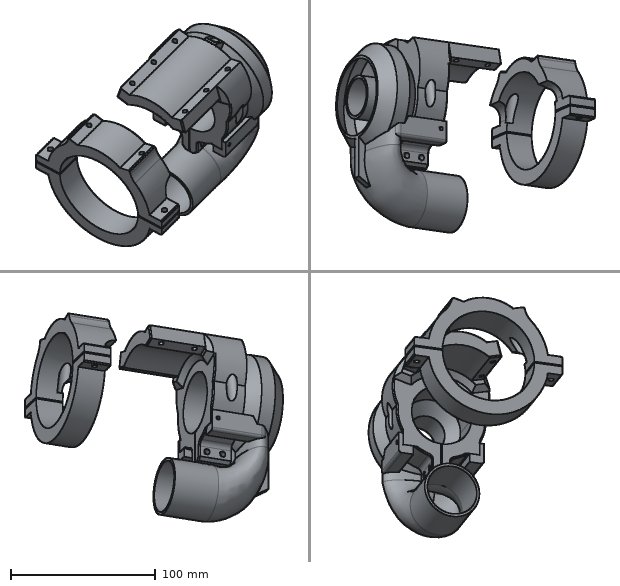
import cadquery as cq
import math


PIPE_OUTER_D = 40.0
PIPE_INNER_D = 36.0
WALL = (PIPE_OUTER_D - PIPE_INNER_D) / 2
EDGE_CHAMFER = 1.0
SLIT = 1.0
TILT = 15.0
TILT_SIN = math.sin(math.radians(TILT))
TILT_COS = math.cos(math.radians(TILT))
TILT_TAN = math.tan(math.radians(TILT))
CUT = 158.8
TOUCH = 0.2

CROWN_Z = 44.0
PAD_INNER_X = 18.1
PAD_OUTER_X = 26.2
PAD_OUTER_Z = 40.8
PAD_INNER_Z = PAD_OUTER_Z - (PAD_OUTER_X - PAD_INNER_X) * TILT_TAN
PAD_THICKNESS = 11.6
PAD_EDGE_X = PAD_OUTER_X + PAD_THICKNESS * TILT_SIN
PAD_EDGE_Z = PAD_OUTER_Z - PAD_THICKNESS * TILT_COS
PAD_HOLE_X = 22.5
PAD_HOLE_Z = PAD_OUTER_Z - (PAD_OUTER_X - PAD_HOLE_X) * TILT_TAN
PAD_HOLE_D = 3.5
PAD_HOLE_PITCH = 25.0
FIRST_PAD_HOLE_Y = -10.0

MOUNT_DEPTH = 24.0
MOUNT_R = 32.7
BORE_R = 21.8
CHEEK_X = 35.5
CHEEK_Z = 18.5
CHEEK_BOTTOM_Z = 3.5
CORNER_X = 28.0
CORNER_TOP_Z = -math.sqrt(MOUNT_R**2 - CORNER_X**2)
CORNER_Z = -26.2
LUG_X = 6.8
LUG_TOP_Z = -math.sqrt(MOUNT_R**2 - LUG_X**2)
LUG_BOTTOM_Z = -45.3
LUG_CHAMFER = 2.4
LUG_FILLET_R = 4.0
LUG_HOLE_D = 4.0
LUG_HOLE_Z = -38.6
LUG_HOLE_YS = (-6.2, -18.0)
SCREW_HEAD_D = 8.0
MOUNT_HOLE_PAIRS = 3
RAIL_DEPTH = 69.2
RAIL_INNER_R = 34.0
GUSSET_DEPTH = 4.3
GUSSET_DROP = 8.0
GUSSET_TAPER = 45.0

HOOD_DEPTH = 29.9
HOOD_R = 38.7
HOOD_END_R = 29.0
HOOD_RIM_FRONT = 9.8
HOOD_RIM_BACK = 20.0
NOZZLE_R = 13.2
FUNNEL_DEPTH = 8.5
LATCH_WIDTH = 9.8
LATCH_FLAT = 2.0
LATCH_HOLE_D = 5.5
LATCH_HOLE_Z = 41.1
BRACKET_OUTER_X = 31.1
BRACKET_INNER_X = 20.5
BRACKET_TOP_Z = -17.3
BRACKET_BOTTOM_Z = -32.5
BRACKET_BACK_Y = 17.8
BRACKET_BACK_R = 5.0
BRACKET_BOTTOM_R = 2.0
BRACKET_HOLE_D = 2.5
BRACKET_HOLE_Y = -19.5
BRACKET_HOLE_Z = -23.0

DUCT_Y = 15.0
DUCT_HALF_WIDTH = 30.0
DUCT_HALF_DEPTH = 10.0
DUCT_BOTTOM_Z = -38.5
PIPE_R = PIPE_OUTER_D / 2
PIPE_Z = -66.7
PIPE_START_Y = -14.8
PIPE_END_Y = -47.2
ELBOW_STEPS = 4
VANE_THICKNESS = 5.5
VANE_BOTTOM_Z = -57.2
VANE_NOSE_R = 10.3
VANE_WALL_Y = 21.5
VANE_TOE_Y = 19.8
VANE_TOE_Z = -63.5

RING_X = -0.6
RING_R = 44.0
RING_BORE_R = 33.5
RING_FRONT_Y = -129.0
RING_UPPER_DEPTH = 30.0
RING_LOWER_DEPTH = 20.0
EAR_SPAN = 108.1
EAR_Z = 7.0
EAR_HOLE_X = 48.9
EAR_HOLE_D = 4.0
RING_HOLE_STEPS = 4
PAD_FILLET_R = 15.0
RELIEF_R = 10.0
RELIEF_TOP_Z = 19.2


def profile(y):
    """Drawing plane across the tool axis; extrusions run toward -Y."""
    return cq.Workplane("XZ", origin=(0, y, 0))


def lengthwise_edges(x, z, reach):
    """Selector of the edges along Y that lie within `reach` of (+x, z) or (-x, z)."""
    right = cq.selectors.BoxSelector((x - reach, -CUT, z - reach), (x + reach, CUT, z + reach))
    left = cq.selectors.BoxSelector((-x - reach, -CUT, z - reach), (-x + reach, CUT, z + reach))
    return cq.selectors.ParallelDirSelector(cq.Vector(0, 1, 0)) & (right + left)


def edges_at(y, low, high):
    """Selector of the edges in the plane at `y` whose middles lie between two (x, z) corners."""
    return cq.selectors.BoxSelector(
        (low[0], y - TOUCH, low[1]), (high[0], y + TOUCH, high[1]), boundingbox=False
    )


def both_sides(shape):
    """The shape together with its mirror image across X = 0."""
    return shape.union(shape.mirror("YZ"))


def pad_axis_cylinder(y, diameter, start, length):
    """Cylinder square to the +X pad, from `start` below the pad face and `length` long."""
    down = cq.Vector(TILT_SIN, 0, -TILT_COS)
    base = cq.Vector(PAD_HOLE_X, y, PAD_HOLE_Z) + down * start
    return cq.Workplane(cq.Solid.makeCylinder(diameter / 2, length, base, down))


def pad_holes(ys):
    """Cutters for a screw hole through both pads at each Y."""
    holes = cq.Workplane()
    for y in ys:
        holes = holes.add(pad_axis_cylinder(y, PAD_HOLE_D, -PAD_THICKNESS, 2 * PAD_THICKNESS))
    return both_sides(holes.combine())


def crown_prism(y, depth):
    """Solid under the crown and the two pads, down to the lower edges of the pads."""
    return (
        profile(y)
        .moveTo(-PAD_INNER_X, PAD_INNER_Z)
        .threePointArc((0, CROWN_Z), (PAD_INNER_X, PAD_INNER_Z))
        .lineTo(PAD_OUTER_X, PAD_OUTER_Z)
        .lineTo(PAD_EDGE_X, PAD_EDGE_Z)
        .lineTo(0, PAD_EDGE_Z - PAD_EDGE_X * TILT_TAN)
        .lineTo(-PAD_EDGE_X, PAD_EDGE_Z)
        .lineTo(-PAD_OUTER_X, PAD_OUTER_Z)
        .close()
        .extrude(depth)
    )


def circle_x(z):
    """X of the round side of the mount at height z."""
    return math.sqrt(MOUNT_R**2 - z**2)


def half_crown():
    """Middle and end point of the +X half of the crown arc."""
    sag = CROWN_Z - PAD_INNER_Z
    radius = (PAD_INNER_X**2 + sag**2) / (2 * sag)
    half_angle = math.asin(PAD_INNER_X / radius) / 2
    middle = (radius * math.sin(half_angle), CROWN_Z - radius * (1 - math.cos(half_angle)))
    return middle, (PAD_INNER_X, PAD_INNER_Z)


def half_mount(depth):
    """The +X half of the mount without its bore, `depth` long from Y = 0."""
    waist_x = circle_x(CHEEK_BOTTOM_Z)
    side_mid_z = (CHEEK_BOTTOM_Z + CORNER_TOP_Z) / 2
    corner_end_x = circle_x(CORNER_Z)
    under_mid_z = (CORNER_Z + LUG_TOP_Z) / 2
    return (
        profile(0)
        .moveTo(0, CROWN_Z)
        .threePointArc(*half_crown())
        .lineTo(PAD_OUTER_X, PAD_OUTER_Z)
        .threePointArc((CHEEK_X, CHEEK_Z), (waist_x, CHEEK_BOTTOM_Z))
        .threePointArc((circle_x(side_mid_z), side_mid_z), (CORNER_X, CORNER_TOP_Z))
        .lineTo(CORNER_X, CORNER_Z)
        .lineTo(corner_end_x, CORNER_Z)
        .threePointArc((circle_x(under_mid_z), under_mid_z), (LUG_X, LUG_TOP_Z))
        .lineTo(LUG_X, LUG_BOTTOM_Z + LUG_CHAMFER)
        .lineTo(LUG_X - LUG_CHAMFER, LUG_BOTTOM_Z)
        .lineTo(0, LUG_BOTTOM_Z)
        .close()
        .extrude(depth)
    )


def mount_body():
    """Clamp part of the mount with its lugs, chamfered round the front face."""
    half = half_mount(MOUNT_DEPTH)
    half = half.edges(lengthwise_edges(LUG_X, LUG_TOP_Z, TOUCH)).fillet(LUG_FILLET_R)
    side_edges = edges_at(-MOUNT_DEPTH, (CORNER_X, CORNER_TOP_Z), (CUT, CUT))
    lower_edges = edges_at(-MOUNT_DEPTH, (LUG_X / 2, -CUT), (CORNER_X, CORNER_Z - TOUCH))
    half = half.edges(side_edges).chamfer(EDGE_CHAMFER)
    half = half.edges(lower_edges).chamfer(EDGE_CHAMFER)
    return both_sides(half)


def gusset():
    """Sloped transition from the front face of the mount to the rail."""
    side_x = PAD_EDGE_X + GUSSET_DEPTH / TILT_COS
    low_x = side_x + GUSSET_DROP * TILT_TAN
    low_z = PAD_EDGE_Z - GUSSET_DROP + (low_x - PAD_EDGE_X) * TILT_TAN
    top_z = CROWN_Z + 2 * GUSSET_DEPTH
    top_x = side_x - (top_z - PAD_EDGE_Z) * TILT_TAN
    block = (
        profile(-MOUNT_DEPTH)
        .polyline([
            (-top_x, top_z), (top_x, top_z), (low_x, low_z),
            (0, low_z - low_x * TILT_TAN), (-low_x, low_z),
        ])
        .close()
        .extrude(GUSSET_DEPTH, taper=GUSSET_TAPER)
    )
    cone = cq.Workplane(cq.Solid.makeCone(
        RAIL_INNER_R - GUSSET_DEPTH, RAIL_INNER_R, GUSSET_DEPTH,
        cq.Vector(0, -MOUNT_DEPTH, 0), cq.Vector(0, -1, 0),
    ))
    outline = both_sides(half_mount(MOUNT_DEPTH + GUSSET_DEPTH))
    root = block.faces(">Y").wires().toPending().extrude(-EDGE_CHAMFER, combine=False)
    root = root.cut(profile(0).circle(RAIL_INNER_R - GUSSET_DEPTH).extrude(MOUNT_DEPTH))
    return block.cut(cone).union(root).intersect(outline)


def rail():
    """Long arched top of the mount with a screw pad along each side."""
    lower_edges = edges_at(-RAIL_DEPTH, (-CUT, -CUT), (CUT, PAD_INNER_Z - TOUCH))
    prism = crown_prism(0, RAIL_DEPTH).edges(lower_edges).chamfer(EDGE_CHAMFER)
    return prism.cut(profile(0).circle(RAIL_INNER_R).extrude(RAIL_DEPTH))


def make_mount():
    body = mount_body().union(gusset()).union(rail())
    body = body.cut(profile(0).circle(BORE_R).extrude(MOUNT_DEPTH))
    body = body.cut(cq.Workplane().box(SLIT, CUT, CUT).translate((0, 0, -CUT / 2)))
    lug_holes = (
        cq.Workplane("YZ", origin=(-CUT / 2, 0, 0))
        .pushPoints([(y, LUG_HOLE_Z) for y in LUG_HOLE_YS])
        .circle(LUG_HOLE_D / 2)
        .extrude(CUT)
    )
    body = body.cut(lug_holes)
    body = body.cut(pad_holes([FIRST_PAD_HOLE_Y - i * PAD_HOLE_PITCH for i in range(MOUNT_HOLE_PAIRS)]))
    head_recess = pad_axis_cylinder(FIRST_PAD_HOLE_Y, SCREW_HEAD_D, PAD_THICKNESS, CUT)
    return body.cut(both_sides(head_recess))


def hood_shell():
    """Outer shape of the hood: a drum with a cone at each end."""
    return (
        cq.Workplane("XY")
        .polyline([
            (0, 0), (HOOD_END_R, 0), (HOOD_R, HOOD_RIM_FRONT), (HOOD_R, HOOD_RIM_BACK),
            (HOOD_END_R, HOOD_DEPTH), (0, HOOD_DEPTH),
        ])
        .close()
        .revolve(360, (0, 0, 0), (0, 1, 0))
    )


def hood_cavity():
    """Chamber inside the shell, open at the back."""
    return (
        cq.Workplane("XY")
        .polyline([
            (HOOD_END_R - WALL / 2, WALL),
            (HOOD_R - WALL, HOOD_RIM_FRONT + WALL / 2), (HOOD_R - WALL, HOOD_RIM_BACK - WALL / 2),
            (HOOD_END_R - WALL, HOOD_DEPTH), (0, HOOD_DEPTH), (0, WALL),
        ])
        .close()
        .revolve(360, (0, 0, 0), (0, 1, 0))
    )


def funnel(wall):
    """Solid of the funnel that leads from the mount bore to the nozzle, `wall` thicker all round."""
    return (
        cq.Workplane("XY")
        .polyline([
            (0, 0), (BORE_R + wall, 0), (NOZZLE_R + wall, FUNNEL_DEPTH),
            (NOZZLE_R + wall, HOOD_DEPTH), (0, HOOD_DEPTH),
        ])
        .close()
        .revolve(360, (0, 0, 0), (0, 1, 0))
    )


def outlet(inset):
    """Duct, elbow and pipe as one solid, every outer surface moved inward by `inset`."""
    half_width = DUCT_HALF_WIDTH - inset
    half_depth = DUCT_HALF_DEPTH - inset
    pipe_r = PIPE_R - inset
    duct = (
        cq.Workplane("XY", origin=(0, DUCT_Y, DUCT_BOTTOM_Z))
        .ellipse(half_width, half_depth)
        .extrude(-DUCT_BOTTOM_Z)
    )
    sections = []
    for step in range(ELBOW_STEPS + 1):
        part = step / ELBOW_STEPS
        angle = part * math.pi / 2
        centre = cq.Vector(
            0,
            PIPE_START_Y + (DUCT_Y - PIPE_START_Y) * math.cos(angle),
            DUCT_BOTTOM_Z + (PIPE_Z - DUCT_BOTTOM_Z) * math.sin(angle),
        )
        normal = cq.Vector(0, -math.sin(angle), -math.cos(angle))
        plane = cq.Plane(centre, (1, 0, 0), normal)
        section_width = half_width + (pipe_r - half_width) * part
        section_depth = half_depth + (pipe_r - half_depth) * part
        sections.append(cq.Workplane(plane).ellipse(section_width, section_depth).val())
    elbow = cq.Workplane(cq.Solid.makeLoft(sections))
    pipe = profile(PIPE_START_Y).center(0, PIPE_Z).circle(pipe_r).extrude(PIPE_START_Y - PIPE_END_Y)
    return duct.union(elbow).union(pipe)


def vane():
    """Central web that stiffens the elbow inside and out."""
    return (
        cq.Workplane("YZ", origin=(-VANE_THICKNESS / 2, 0, 0))
        .moveTo(0, -HOOD_END_R + WALL)
        .lineTo(HOOD_DEPTH, -HOOD_END_R + WALL)
        .lineTo(HOOD_DEPTH, VANE_BOTTOM_Z)
        .lineTo(VANE_TOE_Y, VANE_TOE_Z)
        .lineTo(VANE_WALL_Y, VANE_BOTTOM_Z)
        .lineTo(VANE_NOSE_R, VANE_BOTTOM_Z)
        .radiusArc((0, VANE_BOTTOM_Z + VANE_NOSE_R), VANE_NOSE_R)
        .close()
        .extrude(VANE_THICKNESS)
    )


def brackets():
    """L-shaped arms that hold the square lower corners of the mount."""
    length = BRACKET_BACK_Y + MOUNT_DEPTH
    arm = (
        cq.Workplane("XY")
        .box(
            BRACKET_OUTER_X - BRACKET_INNER_X, length, BRACKET_TOP_Z - BRACKET_BOTTOM_Z,
            centered=False,
        )
        .translate((BRACKET_INNER_X, -MOUNT_DEPTH, BRACKET_BOTTOM_Z))
    )
    arm = arm.edges(">X and >Y").fillet(BRACKET_BACK_R)
    arm = arm.edges(">X and <Z").fillet(BRACKET_BOTTOM_R)
    hole = (
        cq.Workplane("YZ")
        .center(BRACKET_HOLE_Y, BRACKET_HOLE_Z)
        .circle(BRACKET_HOLE_D / 2)
        .extrude(CUT)
    )
    corner = (
        cq.Workplane("XY")
        .box(CORNER_X, MOUNT_DEPTH, -CORNER_Z, centered=False)
        .translate((0, -MOUNT_DEPTH, CORNER_Z))
    )
    return both_sides(arm.cut(hole).cut(corner))


def latch():
    """Block with a sloped back on top of the hood."""
    return (
        cq.Workplane("YZ", origin=(-LATCH_WIDTH / 2, 0, 0))
        .polyline([
            (0, HOOD_END_R - WALL), (0, CROWN_Z), (LATCH_FLAT, CROWN_Z),
            (HOOD_RIM_FRONT, HOOD_R), (HOOD_RIM_FRONT, HOOD_END_R - WALL),
        ])
        .close()
        .extrude(LATCH_WIDTH)
    )


def make_hood():
    body = hood_shell().union(outlet(0)).union(brackets()).union(latch())
    body = body.cut(outlet(WALL)).union(vane())
    body = body.cut(hood_cavity()).union(funnel(WALL)).cut(funnel(0))
    latch_hole = (
        profile(HOOD_RIM_FRONT).center(0, LATCH_HOLE_Z).circle(LATCH_HOLE_D / 2).extrude(HOOD_RIM_FRONT)
    )
    return body.cut(latch_hole)


def ring_blank(depth):
    ears = (
        profile(RING_FRONT_Y + depth)
        .rect(EAR_SPAN, 2 * EAR_Z)
        .extrude(depth)
        .edges("|Y")
        .chamfer(EDGE_CHAMFER)
    )
    return profile(RING_FRONT_Y + depth).circle(RING_R).extrude(depth).union(ears)


def finish_ring(blank, side):
    """Bore the blank, drill the ears and keep the half above (side 1) or below (side -1) the slit."""
    blank = blank.cut(profile(0).circle(RING_BORE_R).extrude(CUT))
    ear_y = RING_FRONT_Y + RING_LOWER_DEPTH / 2
    holes = (
        cq.Workplane("XY", origin=(0, 0, -CUT / 2))
        .pushPoints([(EAR_HOLE_X, ear_y), (-EAR_HOLE_X, ear_y)])
        .circle(EAR_HOLE_D / 2)
        .extrude(CUT)
    )
    keep = cq.Workplane().box(CUT, 2 * CUT, CUT).translate((0, 0, side * (CUT + SLIT) / 2))
    return blank.cut(holes).intersect(keep).translate((RING_X, 0, 0))


def make_lower_ring():
    return finish_ring(ring_blank(RING_LOWER_DEPTH), -1)


def make_upper_ring():
    back_y = RING_FRONT_Y + RING_UPPER_DEPTH
    blank = ring_blank(RING_UPPER_DEPTH)
    crown_space = profile(back_y).rect(2 * PAD_OUTER_X, 2 * CROWN_Z).extrude(RING_UPPER_DEPTH)
    crown_space = crown_space.translate((0, 0, CROWN_Z + RING_BORE_R))
    crown = crown_prism(back_y, RING_UPPER_DEPTH)
    crown = crown.edges(lengthwise_edges(PAD_OUTER_X, PAD_OUTER_Z, TOUCH)).chamfer(EDGE_CHAMFER)
    top_edges = edges_at(back_y, (-CUT, PAD_INNER_Z), (CUT, CUT))
    crown = crown.edges(top_edges).chamfer(EDGE_CHAMFER)
    blank = blank.cut(crown_space).union(crown)
    end_x = (PAD_OUTER_X + PAD_EDGE_X) / 2
    end_z = (PAD_OUTER_Z + PAD_EDGE_Z) / 2
    blank = blank.edges(lengthwise_edges(end_x, end_z, PAD_THICKNESS / 4)).fillet(PAD_FILLET_R)
    hole_y = FIRST_PAD_HOLE_Y - RING_HOLE_STEPS * PAD_HOLE_PITCH
    head_recess = pad_axis_cylinder(hole_y, SCREW_HEAD_D, PAD_THICKNESS, 2 * PAD_THICKNESS)
    blank = blank.cut(pad_holes([hole_y])).cut(both_sides(head_recess))
    relief = (
        cq.Workplane("YZ", origin=(-CUT / 2, 0, 0))
        .moveTo(back_y, RELIEF_TOP_Z)
        .radiusArc((back_y - RELIEF_R, RELIEF_TOP_Z - RELIEF_R), -RELIEF_R)
        .lineTo(back_y - RELIEF_R, -CUT)
        .lineTo(back_y, -CUT)
        .close()
        .extrude(CUT)
    )
    return finish_ring(blank.cut(relief), 1)


mount = make_mount()
hood = make_hood()
upper_ring = make_upper_ring()
lower_ring = make_lower_ring()

result = cq.Compound.makeCompound([mount.val(), hood.val(), upper_ring.val(), lower_ring.val()])